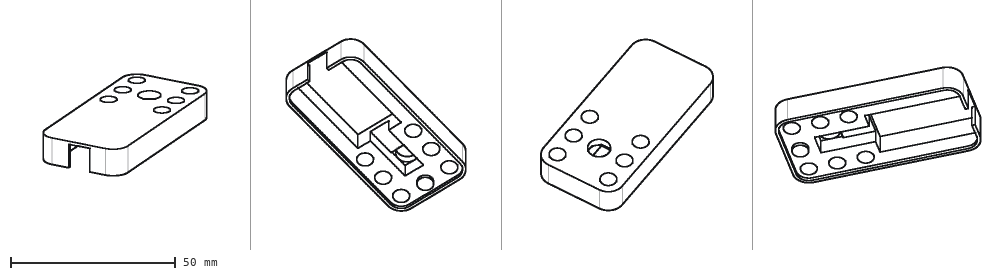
import cadquery as cq

LENGTH = 59.2
WIDTH = 28.5
HEIGHT = 8.7
CORNER_RADIUS = 5.05
WALL = 1.0

RECESS_DEPTH = 1.05
CAVITY_BACK_Y = 1.8
CAVITY_WIDTH = 16.6

SMALL_HOLE_DIAMETER = 5.1
LARGE_HOLE_DIAMETER = 7.0
HOLE_PITCH_Y = 9.0
HOLE_X = WIDTH / 2 - CORNER_RADIUS
BACK_ROW_Y = LENGTH / 2 - CORNER_RADIUS
MIDDLE_ROW_Y = BACK_ROW_Y - HOLE_PITCH_Y

CHANNEL_TOP_Z = 5.5
CHANNEL_WIDTH = LARGE_HOLE_DIAMETER
POCKET_TOP_Z = 6.1
POCKET_FRONT_Y = MIDDLE_ROW_Y - CHANNEL_WIDTH / 2
POCKET_BACK_Y = MIDDLE_ROW_Y + CHANNEL_WIDTH / 2

NOTCH_WIDTH = 7.3
NOTCH_CENTER_X = 0.2

BOSS_DIAMETER = 5.1


def rounded_plate(inset, bottom_z, top_z):
    """Plate with the body's outline moved inward by inset."""
    return (
        cq.Workplane("XY", origin=(0, 0, bottom_z))
        .rect(WIDTH - 2 * inset, LENGTH - 2 * inset)
        .extrude(top_z - bottom_z)
        .edges("|Z")
        .fillet(CORNER_RADIUS - inset)
    )


def block(center_x, width, front_y, back_y, top_z):
    """Box standing on the bottom plane."""
    return (
        cq.Workplane("XY", origin=(center_x, (front_y + back_y) / 2, 0))
        .rect(width, back_y - front_y)
        .extrude(top_z)
    )


def cylinder(x, y, diameter, height):
    """Upright cylinder starting at the bottom plane."""
    return cq.Workplane("XY", origin=(x, y, 0)).circle(diameter / 2).extrude(height)


front_y = -LENGTH / 2
ceiling_z = HEIGHT - WALL

body = rounded_plate(0, 0, HEIGHT)
body = body.cut(rounded_plate(WALL, 0, RECESS_DEPTH))
body = body.cut(block(0, CAVITY_WIDTH, front_y + WALL, CAVITY_BACK_Y, ceiling_z))

body = body.cut(block(0, CHANNEL_WIDTH, CAVITY_BACK_Y, POCKET_FRONT_Y, CHANNEL_TOP_Z))
body = body.cut(block(0, CHANNEL_WIDTH, POCKET_FRONT_Y, POCKET_BACK_Y, POCKET_TOP_Z))
body = body.cut(block(NOTCH_CENTER_X, NOTCH_WIDTH, front_y, front_y + WALL, ceiling_z))

body = body.union(cylinder(0, BACK_ROW_Y, BOSS_DIAMETER, RECESS_DEPTH))

body = body.cut(cylinder(0, MIDDLE_ROW_Y, LARGE_HOLE_DIAMETER, HEIGHT))
for row in range(3):
    for hole_x in (-HOLE_X, HOLE_X):
        hole_y = BACK_ROW_Y - row * HOLE_PITCH_Y
        body = body.cut(cylinder(hole_x, hole_y, SMALL_HOLE_DIAMETER, HEIGHT))

result = body